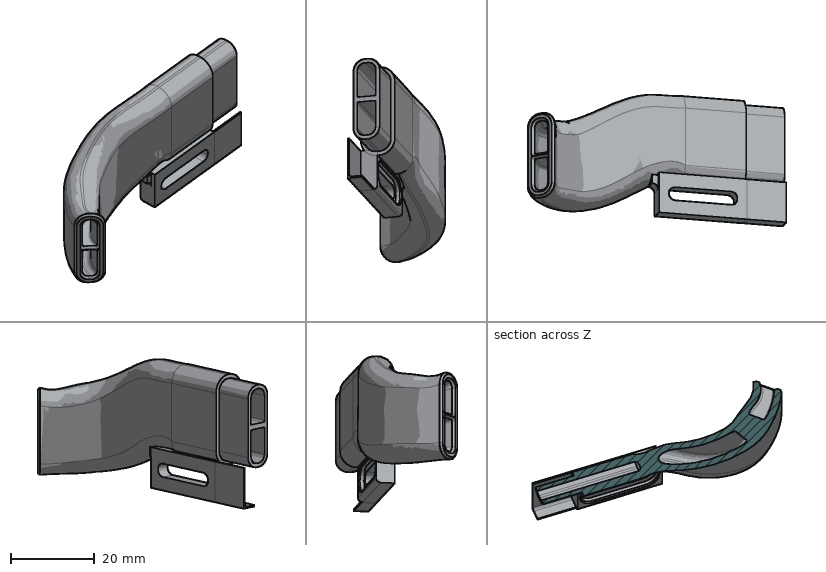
import cadquery as cq
import math


part_length = 65.25
spigot_length = 9.85
socket_width = 8.5
socket_height = 22.1
socket_radius = 3.9
socket_left = 1.95
socket_top = 31.4
socket_front = 40.25
spigot_step = 1.0
shoulder = part_length - spigot_length
socket_x = socket_left + socket_width / 2
socket_z = socket_top - socket_height / 2

wall = 1.95
septum = 1.25
septum_corner = 0.4
mouth_bevel = 0.6
end_overlap = 0.3

mouth_width = 7.45
mouth_height = 21.1
mouth_radius = 3.4
mouth_chamfer = 0.5
collar_length = 0.65
mouth_pose = (17.35, 2.75, 10.65, 45.0, 0.0)

socket_section = ((socket_x, socket_front, socket_z, 0.0, 0.0), socket_width, socket_height, socket_radius)
mouth_section = (mouth_pose, mouth_width, mouth_height, mouth_radius)
tube_sections = [
    socket_section,
    ((6.15, 34.6, 20.5, -4.0, 4.0), socket_width, 21.55, socket_radius),
    ((5.35, 29.35, 19.05, -9.0, 8.0), socket_width, 22.6, socket_radius),
    ((4.4, 24.15, 16.6, -4.0, 11.0), socket_width, 22.85, socket_radius),
    ((4.65, 18.9, 14.0, 8.0, 11.0), socket_width, 22.6, socket_radius),
    ((6.0, 13.7, 12.15, 24.0, 8.0), socket_width, 22.0, socket_radius),
    ((9.1, 9.25, 11.1, 40.0, 4.0), socket_width, 21.55, socket_radius),
    ((12.15, 6.15, 10.5, 51.0, 1.0), 7.8, 20.9, 3.65),
    mouth_section,
]

foot_left = 6.3
foot_right = 10.9
foot_bottom = 0.8
foot_top = 10.8
foot_front = 33.75
foot_edge_radius = 1.05
plate_thickness = 0.4
lip_fillet = 0.65
web_radius = 1.45
web_top = 10.45
web_corner_z = 8.3
web_right = 9.8
slot_y = 44.65
slot_z = 5.75
slot_length = 17.0
slot_height = 3.25
pocket_length = 20.35
pocket_height = 6.8
pocket_depth = 1.3
pocket_bevel = 0.3
bevel_angle = 45.0


def section_plane(pose):
    """Plane whose local x runs across the duct, local y up it and normal towards the mouth."""
    x, y, z, swing, lean = pose
    a = math.radians(swing)
    b = math.radians(lean)
    across = (math.cos(a), math.sin(a), 0)
    ahead = (math.sin(a) * math.cos(b), -math.cos(a) * math.cos(b), -math.sin(b))
    return cq.Plane(origin=(x, y, z), xDir=across, normal=ahead)


def corner_inset(radius):
    """Distance along each side from a square corner to the middle of its rounding arc."""
    return radius * (1 - math.sqrt(0.5))


def rounded_wire(plane, width, low, high, low_radius, high_radius):
    """Upright rectangle from low to high with its own radius for the low and high corners."""
    half = width / 2
    low_cut = corner_inset(low_radius)
    high_cut = corner_inset(high_radius)
    outline = (
        cq.Workplane(plane)
        .moveTo(low_radius - half, low)
        .lineTo(half - low_radius, low)
        .threePointArc((half - low_cut, low + low_cut), (half, low + low_radius))
        .lineTo(half, high - high_radius)
        .threePointArc((half - high_cut, high - high_cut), (half - high_radius, high))
        .lineTo(high_radius - half, high)
        .threePointArc((high_cut - half, high - high_cut), (-half, high - high_radius))
        .lineTo(-half, low + low_radius)
        .threePointArc((low_cut - half, low + low_cut), (low_radius - half, low))
        .close()
    )
    return outline.val()


def outer_wire(section):
    pose, width, height, radius = section
    return rounded_wire(section_plane(pose), width, -height / 2, height / 2, radius, radius)


def channel_wire(section, side, shift=0.0, growth=0.0):
    """Channel above (side 1) or below (side -1) the septum, moved along the duct by shift."""
    pose, width, height, radius = section
    plane = section_plane(pose)
    plane.origin = plane.origin + plane.zDir * shift
    inner = septum / 2 - growth
    outer = height / 2 - wall + growth
    inner_width = width - 2 * wall + 2 * growth
    outer_radius = radius - wall + growth
    if side > 0:
        return rounded_wire(plane, inner_width, inner, outer, septum_corner, outer_radius)
    return rounded_wire(plane, inner_width, -outer, -inner, outer_radius, septum_corner)


def smooth_loft(wires):
    """Solid through all wires, with cubic curves along its length."""
    return cq.occ_impl.shapes.loft(wires, cap=True, parametrization="chordal")


def straight_run(inset, start, end):
    """Straight rounded length of duct between two Y positions."""
    pose = (socket_x, end, socket_z, 0.0, 0.0)
    section = (pose, socket_width - 2 * inset, socket_height - 2 * inset, socket_radius - inset)
    return cq.Solid.extrudeLinear(outer_wire(section), [], cq.Vector(0, start - end, 0))


def curved_tube():
    return smooth_loft([outer_wire(s) for s in tube_sections])


def mouth_collar():
    """Short straight end of the tube with a chamfered outer rim."""
    ahead = section_plane(mouth_pose).zDir
    collar = cq.Solid.extrudeLinear(outer_wire(mouth_section), [], ahead * collar_length)
    rim = cq.Workplane("XY").add(collar).faces(cq.selectors.DirectionMinMaxSelector(ahead, True))
    return rim.edges().chamfer(mouth_chamfer).val()


def straight_channel(side):
    length = part_length + end_overlap - socket_front
    return cq.Solid.extrudeLinear(channel_wire(socket_section, side), [], cq.Vector(0, length, 0))


def curved_channel(side):
    return smooth_loft([channel_wire(s, side) for s in tube_sections])


def collar_channel(side):
    """Channel through the mouth collar, flared by a bevel at the opening."""
    entry = channel_wire(mouth_section, side)
    bevel_start = channel_wire(mouth_section, side, shift=collar_length - mouth_bevel)
    opening = channel_wire(mouth_section, side, shift=collar_length, growth=mouth_bevel)
    return cq.Solid.makeLoft([entry, bevel_start, opening], True)


def foot_slot(length, height, left, right):
    return (
        cq.Workplane("YZ", origin=(left, slot_y, slot_z))
        .slot2D(length, height)
        .extrude(right - left)
    )


def foot():
    """Slotted block under the socket with its lower -X edge rounded."""
    size = (foot_right - foot_left, shoulder - foot_front, foot_top - foot_bottom)
    block = (
        cq.Workplane("XY", origin=(foot_left, foot_front, foot_bottom))
        .box(*size, centered=False)
        .edges("<X and <Z")
        .fillet(foot_edge_radius)
    )
    pocket = foot_slot(pocket_length - 2 * pocket_bevel, pocket_height - 2 * pocket_bevel,
                       foot_left, foot_left + pocket_depth)
    bevel = (
        cq.Workplane("YZ", origin=(foot_left, slot_y, slot_z))
        .slot2D(pocket_length, pocket_height)
        .extrude(pocket_bevel, taper=bevel_angle)
    )
    slot = foot_slot(slot_length, slot_height, foot_left, foot_right)
    return block.cut(pocket).cut(bevel).cut(slot).val()


def plate():
    """Thin L-shaped continuation of the foot beside the spigot."""
    lip_left = foot_left + spigot_step
    inner_x = foot_right - plate_thickness
    inner_z = foot_bottom + plate_thickness
    cut = corner_inset(lip_fillet)
    return (
        cq.Workplane("XZ", origin=(0, part_length, 0))
        .moveTo(lip_left, foot_bottom)
        .lineTo(foot_right, foot_bottom)
        .lineTo(foot_right, foot_top)
        .lineTo(inner_x, foot_top)
        .lineTo(inner_x, inner_z + lip_fillet)
        .threePointArc((inner_x - cut, inner_z + cut), (inner_x - lip_fillet, inner_z))
        .lineTo(lip_left, inner_z)
        .close()
        .extrude(spigot_length)
        .val()
    )


def web():
    """Concave fillet that runs from the front of the foot into the tube above."""
    cut = corner_inset(web_radius)
    return (
        cq.Workplane("YZ", origin=(foot_left, 0, 0))
        .moveTo(foot_front, web_corner_z - web_radius)
        .threePointArc((foot_front - cut, web_corner_z - cut), (foot_front - web_radius, web_corner_z))
        .lineTo(foot_front - web_radius, web_top)
        .lineTo(foot_front, web_top)
        .close()
        .extrude(web_right - foot_left)
        .val()
    )


def pierced(piece, channel):
    """Piece with the channels above and below the septum cut through it."""
    return piece.cut(channel(1), channel(-1))


socket = straight_run(0.0, socket_front, shoulder)
spigot = straight_run(spigot_step, shoulder, part_length)
straight_duct = pierced(socket.fuse(spigot), straight_channel)
tube = pierced(curved_tube(), curved_channel)
collar = pierced(mouth_collar(), collar_channel)

duct = tube.fuse(straight_duct, collar, glue=True)
mounting = foot().fuse(plate(), web())
result = cq.Workplane("XY").newObject([duct.fuse(mounting).Solids()[0]])